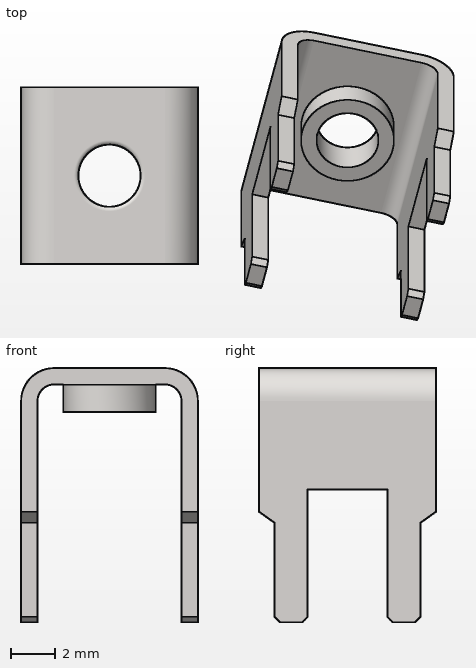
import cadquery as cq

width = 8.0
depth = 8.0
height = 11.5
thickness = 0.75
bend_radius = 1.5

leg_width = 1.5
leg_gap = 3.6
slot_top = 6.0
shoulder_bottom = 4.5
shoulder_top = 5.0
tip_width_cut = 0.25
tip_height_cut = 0.25

collar_diameter = 4.2
collar_bottom_depth = 2.0
hole_diameter = 2.8
hole_edge_radius = 0.2


def make_channel():
    """Sheet bent into an upside-down U, standing on Z = 0 and running along Y."""
    outer = (
        cq.Workplane("XY")
        .box(width, depth, height, centered=(True, True, False))
        .edges("|Y and >Z")
        .fillet(bend_radius)
    )
    inner = (
        cq.Workplane("XY")
        .box(width - 2 * thickness, depth, height - thickness, centered=(True, True, False))
        .edges("|Y and >Z")
        .fillet(bend_radius - thickness)
    )
    return outer.cut(inner)


def make_wall_outline():
    """Side outline of both walls with their legs, extruded across the full width."""
    half_depth = depth / 2
    leg_inner = leg_gap / 2
    leg_outer = leg_inner + leg_width
    half_outline = [
        (leg_inner, slot_top),
        (leg_inner, tip_height_cut),
        (leg_inner + tip_width_cut, 0),
        (leg_outer - tip_width_cut, 0),
        (leg_outer, tip_height_cut),
        (leg_outer, shoulder_bottom),
        (half_depth, shoulder_top),
        (half_depth, height),
    ]
    mirrored_outline = [(-y, z) for y, z in reversed(half_outline)]
    return (
        cq.Workplane("YZ")
        .polyline(half_outline + mirrored_outline)
        .close()
        .extrude(width / 2, both=True)
    )


def make_collar():
    """Round collar hanging below the top of the channel."""
    collar_bottom = height - collar_bottom_depth
    collar_top = height - thickness / 2
    return (
        cq.Workplane("XY")
        .workplane(offset=collar_bottom)
        .circle(collar_diameter / 2)
        .extrude(collar_top - collar_bottom)
    )


def add_hole(body):
    """Through hole in the top and collar, with a rounded upper edge."""
    drilled = body.faces(">Z").workplane(origin=(0, 0, height)).hole(hole_diameter, collar_bottom_depth)
    return drilled.faces(">Z").edges("%CIRCLE").fillet(hole_edge_radius)


bracket = make_channel().intersect(make_wall_outline())
result = add_hole(bracket.union(make_collar()))